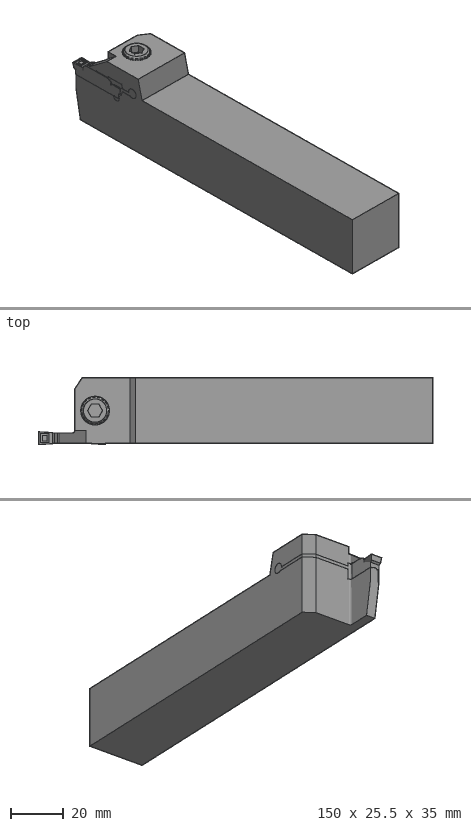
import cadquery as cq
import math


length = 150.0
shank_size = 25.0
head_top = 33.9
head_front = 13.6
head_back_top = 34.8
head_back_bottom = 36.9
corner_length = 2.8
corner_width = 4.4
blade_width = 4.0
blade_front = 1.0
blade_edge_length = 0.22
blade_edge_width = 0.52
blade_slope_top = 14.8
blade_slope_angle = 10.0
blade_root_radius = 0.9
ramp_start_x = 7.8
ramp_end_x = 18.0
ramp_width = blade_width + blade_root_radius

insert_length = 25.4
insert_bottom = 19.8
insert_top = 26.4
plateau_inset = 7.2
edge_height = 24.9
edge_width = 5.0
tip_length = 5.2
tip_back_height = 23.8
tip_front_height = 21.9
land_bottom = 22.5
land_lean = 0.3
foot_inset = blade_front
tip_ridge = 25.4
shoulder_inset = 6.0
shoulder_height = 26.0
chip_groove_start = 0.6
chip_groove_length = 3.3
chip_groove_depth = 0.5
chip_groove_width = 3.5
chip_breaker_start = 1.4
chip_breaker_length = 1.8
chip_breaker_width = 2.1
seat_ridge_width = 2.4
seat_ridge_height = 0.5

pocket_depth = 5.4
pocket_gap_start = 12.2
pocket_top = 26.7
rear_pocket_start = 18.6
rear_pocket_top = 27.2
rear_pocket_end = 25.8
slit_start = 26.4
slit_bottom = 24.0
slit_top = 25.4
rear_foot_x = 25.5
relief_radius = 1.5
relief_x = 23.1
slit_end_diameter = 4.0
slit_end_x = 31.6
slit_end_z = 25.6

screw_x = 21.5
screw_y = shank_size / 2
screw_top = 35.0
screw_head_diameter = 11.0
screw_root_diameter = 10.0
knurl_teeth = 18
screw_head_height = 6.0
screw_seat = screw_top - screw_head_height
screw_shank_diameter = 6.5
screw_end = 15.0
socket_flats = 5.0
socket_depth = 3.0


def side_profile(points, width):
    """Extrude an X-Z outline from the blade side (Y = 0) to Y = width."""
    return cq.Workplane("XZ").polyline(points).close().extrude(-width)


def side_cylinder(x, z, diameter, width):
    """Cylinder along Y, from Y = 0 to Y = width."""
    return cq.Workplane("XZ").center(x, z).circle(diameter / 2).extrude(-width)


def mirrored_in_insert(body):
    """Mirror a body about the middle of the insert's length."""
    middle = (insert_length / 2, 0, 0)
    return body.mirror("YZ", middle)


def make_holder_blank():
    """Shank, head and blade without the pocket, the slit or the screw hole."""
    blade_foot = blade_front + blade_slope_top * math.tan(math.radians(blade_slope_angle))
    blank = side_profile(
        [
            (blade_foot, 0),
            (length, 0),
            (length, shank_size),
            (head_back_bottom, shank_size),
            (head_back_top, head_top),
            (blade_front, head_top),
            (blade_front, blade_slope_top),
        ],
        shank_size,
    )

    plan = (
        cq.Workplane("XY")
        .moveTo(blade_front + blade_edge_length, 0)
        .lineTo(length, 0)
        .lineTo(length, shank_size)
        .lineTo(head_front + corner_length, shank_size)
        .lineTo(head_front, shank_size - corner_width)
        .lineTo(head_front, blade_width + blade_root_radius)
        .radiusArc((head_front - blade_root_radius, blade_width), blade_root_radius)
        .lineTo(blade_front, blade_width)
        .lineTo(blade_front, blade_edge_width)
        .close()
        .extrude(head_top)
    )
    blank = blank.intersect(plan)

    above_ramp = side_profile(
        [
            (0, tip_front_height),
            (foot_inset, tip_front_height),
            (tip_length, tip_back_height),
            (ramp_start_x, insert_top),
            (ramp_end_x, head_top),
            (0, head_top),
        ],
        ramp_width,
    )
    return blank.cut(above_ramp)


def make_seat_ridge(ridge_length):
    """V-shaped ridge along X on the pocket floor, in the middle of the blade width."""
    middle = blade_width / 2
    return (
        cq.Workplane("YZ")
        .polyline(
            [
                (middle - seat_ridge_width / 2, insert_bottom),
                (middle + seat_ridge_width / 2, insert_bottom),
                (middle, insert_bottom + seat_ridge_height),
            ]
        )
        .close()
        .extrude(ridge_length)
    )


def make_tip():
    """Front cutting tip: its sides flare out from the relief line up to the cutting edge."""
    outline = [
        (0, edge_height),
        (tip_length, edge_height),
        (tip_length, tip_back_height),
        (foot_inset, tip_front_height),
        (land_lean, land_bottom),
    ]
    middle = blade_width / 2
    block = side_profile(outline, edge_width).translate((0, middle - edge_width / 2, 0))

    run = tip_length - foot_inset
    rise = tip_back_height - tip_front_height
    line_length = math.hypot(run, rise)
    flare_height = ((edge_height - tip_front_height) * run + foot_inset * rise) / line_length
    along_line = cq.Plane(
        origin=(foot_inset, middle, tip_front_height), xDir=(0, 1, 0), normal=(run, 0, rise)
    )
    flare = (
        cq.Workplane(along_line)
        .polyline(
            [
                (-blade_width / 2, 0),
                (blade_width / 2, 0),
                (edge_width / 2, flare_height),
                (-edge_width / 2, flare_height),
            ]
        )
        .close()
        .extrude(line_length * 2, both=True)
    )
    return block.intersect(flare)


def make_chip_groove():
    """Shallow round-bottomed hollow in the top of the front tip, around the chip breaker."""
    radius = chip_groove_length ** 2 / (8 * chip_groove_depth) + chip_groove_depth / 2
    groove = side_cylinder(
        chip_groove_start + chip_groove_length / 2,
        edge_height + radius - chip_groove_depth,
        radius * 2,
        chip_groove_width,
    ).translate((0, (blade_width - chip_groove_width) / 2, 0))
    keep = cq.Workplane("XY").box(tip_length, blade_width, insert_top, centered=False)
    breaker = cq.Workplane("XY").box(
        chip_breaker_length, chip_breaker_width, insert_top, centered=False
    ).translate((chip_breaker_start, (blade_width - chip_breaker_width) / 2, 0))
    return groove.intersect(keep).cut(breaker)


def make_insert():
    body = side_profile(
        [
            (foot_inset, insert_bottom),
            (foot_inset, tip_front_height),
            (land_lean, land_bottom),
            (0, edge_height),
            (tip_length, edge_height),
            (tip_length, tip_ridge),
            (shoulder_inset, shoulder_height),
            (plateau_inset, insert_top),
            (insert_length - plateau_inset, insert_top),
            (insert_length - shoulder_inset, shoulder_height),
            (insert_length - tip_length, tip_ridge),
            (insert_length - tip_length, edge_height),
            (insert_length, edge_height),
            (insert_length - land_lean, land_bottom),
            (insert_length - foot_inset, tip_front_height),
            (insert_length - foot_inset, insert_bottom),
        ],
        blade_width,
    )
    tip = make_tip()
    groove = make_chip_groove()
    body = body.union(tip).union(mirrored_in_insert(tip))
    body = body.cut(groove).cut(mirrored_in_insert(groove))
    return body.cut(make_seat_ridge(insert_length))


def make_pocket_and_slit():
    """Whole space cut in the holder: insert pocket, relief, through slit and its round end."""
    pocket = side_profile(
        [
            (0, insert_bottom),
            (insert_length - foot_inset, insert_bottom),
            (insert_length - foot_inset, tip_front_height),
            (rear_foot_x, tip_front_height),
            (slit_start, slit_bottom),
            (slit_start, slit_top),
            (rear_pocket_end, rear_pocket_top),
            (rear_pocket_start, rear_pocket_top),
            (rear_pocket_start, pocket_top),
            (pocket_gap_start, pocket_top),
            (pocket_gap_start, insert_top),
            (0, insert_top),
        ],
        pocket_depth,
    )
    relief = side_cylinder(relief_x, insert_bottom, relief_radius * 2, pocket_depth)
    slit = side_profile(
        [
            (head_front, slit_bottom),
            (slit_end_x, slit_bottom),
            (slit_end_x, slit_top),
            (head_front, slit_top),
        ],
        shank_size,
    )
    slit_end = side_cylinder(slit_end_x, slit_end_z, slit_end_diameter, shank_size)
    ridge = make_seat_ridge(relief_x - relief_radius)
    return pocket.cut(ridge).union(relief).union(slit).union(slit_end)


def make_screw_cylinder(diameter, bottom, top):
    """Cylinder on the screw's axis."""
    return (
        cq.Workplane("XY", origin=(screw_x, screw_y, bottom))
        .circle(diameter / 2)
        .extrude(top - bottom)
    )


def make_screw_hole():
    """Counterbore for the knurled head and a hole for the shank."""
    counterbore = make_screw_cylinder(screw_head_diameter, screw_seat, screw_top)
    return counterbore.union(make_screw_cylinder(screw_shank_diameter, screw_end, screw_seat))


def point_on_head(diameter, angle):
    """Point at an angle on a circle about the screw's axis, in the head's own plane."""
    return (diameter / 2 * math.cos(angle), diameter / 2 * math.sin(angle))


def make_knurled_head():
    """Head with radial teeth, bevelled where it stands above the holder."""
    half_pitch = math.pi / knurl_teeth
    outline = cq.Workplane("XY", origin=(screw_x, screw_y, screw_seat)).moveTo(
        *point_on_head(screw_head_diameter, 0)
    )
    for step in range(2 * knurl_teeth):
        start = step * half_pitch
        middle = start + half_pitch / 2
        end = start + half_pitch
        diameter = screw_head_diameter if step % 2 == 0 else screw_root_diameter
        next_diameter = screw_root_diameter if step % 2 == 0 else screw_head_diameter
        outline = outline.threePointArc(
            point_on_head(diameter, middle), point_on_head(diameter, end)
        )
        outline = outline.lineTo(*point_on_head(next_diameter, end))
    toothed = outline.close().extrude(screw_head_height)
    bevelled = (
        make_screw_cylinder(screw_head_diameter, screw_seat, screw_top)
        .faces(">Z")
        .chamfer(screw_top - head_top)
    )
    return toothed.intersect(bevelled)


def make_socket():
    across_corners = socket_flats / math.cos(math.radians(30))
    return (
        cq.Workplane("XY", origin=(screw_x, screw_y, screw_top - socket_depth))
        .polygon(6, across_corners)
        .extrude(socket_depth)
    )


def make_screw():
    shank = make_screw_cylinder(screw_shank_diameter, screw_end, screw_seat)
    return make_knurled_head().union(shank).cut(make_socket())


blank = make_holder_blank()
space = make_pocket_and_slit()
screw_hole = make_screw_hole()

insert = make_insert()
holder = blank.cut(space).cut(insert).cut(screw_hole)
slit_filler = blank.intersect(space).cut(insert).cut(screw_hole)
screw = make_screw()

result = cq.Compound.makeCompound(
    [holder.val(), insert.val(), slit_filler.val(), screw.val()]
)